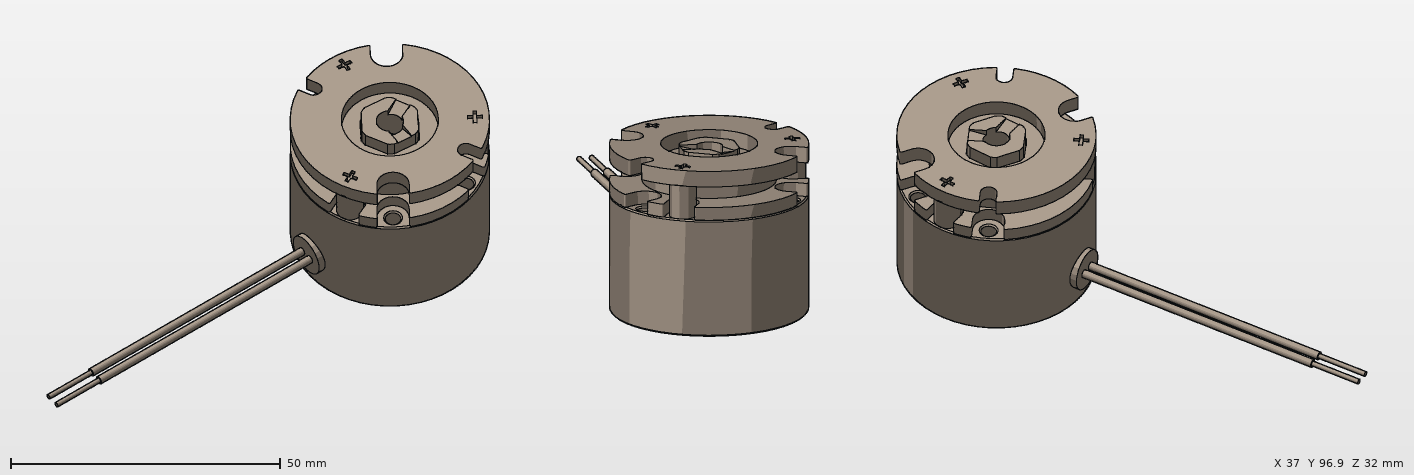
import cadquery as cq
import math

body_radius = 18.5
bore_radius = 2.5
edge_chamfer = 0.3

housing_height = 22.5
armature_thickness = 2.5
disc_thickness = 4.0
cover_thickness = 3.0
armature_bottom = housing_height
disc_bottom = armature_bottom + armature_thickness
cover_bottom = disc_bottom + disc_thickness
cover_top = cover_bottom + cover_thickness

disc_radius = 12.5
cover_opening_radius = 9.0

pillar_angles = (60, 180, 300)
pillar_circle_radius = 15.8
pillar_radius = 2.5
screw_head_radius = 2.6
recess_length = 2.8
recess_width = 0.7
recess_depth = 0.8

mount_circle_radius = 16.0
mount_hole_radius = 1.5
mount_hole_chamfer = 0.3
small_slot_width = 3.1
large_slot_width = 6.0
slot_mouth_fillet = 0.3
small_slot_angles = (30, 210)
large_slot_angles = (150, 330)
mount_angles = small_slot_angles + large_slot_angles

hub_apothem = 5.2
hub_corner_radius = 5.7
hub_clearance = 0.2
hub_top = cover_top - 0.5
notch_angles = (0, 120)
notch_width = 3.0
notch_start = 1.9
notch_inner_depth = 1.2
notch_outer_depth = 0.2

cable_angle = -85
cable_height = 7.0
grommet_radius = 4.0
grommet_end = 19.5
wire_pitch = 2.4
wire_radius = 0.8
core_radius = 0.5
insulation_end = 68.6
cable_reach = 78.4
cable_root = 14.5
cable_tilt = math.radians(cable_angle + 90)
core_corner_drop = (wire_pitch / 2 + core_radius) * math.sin(cable_tilt)
core_end = (cable_reach - core_corner_drop) / math.cos(cable_tilt)


def cylinder(radius, bottom, height):
    return cq.Workplane("XY").workplane(offset=bottom).circle(radius).extrude(height)


def polar(radius, angle):
    return radius * math.cos(math.radians(angle)), radius * math.sin(math.radians(angle))


def post(circle_radius, angle, radius, bottom, top):
    """Upright cylinder standing at a polar position."""
    x, y = polar(circle_radius, angle)
    return cylinder(radius, bottom, top - bottom).translate((x, y, 0))


def edge_slot(circle_radius, angle, width, bottom, top):
    """U-shaped cutter, round at the inner end and open at the rim."""
    slot = post(circle_radius, 0, width / 2, bottom, top)
    mouth = cq.Workplane("XY").box(body_radius, width, top - bottom, centered=(False, True, False))
    slot = slot.union(mouth.translate((circle_radius, 0, bottom)))
    return slot.rotate((0, 0, 0), (0, 0, 1), angle)


def radial_rod(radius, start, end, side=0):
    """Cylinder along the cable direction, shifted sideways by `side`."""
    rod = cq.Workplane("YZ").workplane(offset=start).center(side, cable_height).circle(radius)
    return rod.extrude(end - start).rotate((0, 0, 0), (0, 0, 1), cable_angle)


def round_slot_mouths(plate):
    """Fillet the upright edges where slots meet the rim of a plate."""
    mouths = plate.edges("|Z").filter(
        lambda edge: math.hypot(edge.Center().x, edge.Center().y) > body_radius - 0.1
        and abs(edge.Center().y) > 0.1
    )
    return mouths.fillet(slot_mouth_fillet)


def make_housing():
    housing = cylinder(body_radius, 0, housing_height).edges().chamfer(edge_chamfer)
    for angle in mount_angles:
        housing = housing.cut(post(mount_circle_radius, angle, mount_hole_radius, 0, housing_height))
    mount_rims = housing.faces(">Z").edges("%CIRCLE").filter(lambda edge: edge.radius() < body_radius / 2)
    return mount_rims.chamfer(mount_hole_chamfer)


def make_armature():
    armature = cylinder(body_radius, armature_bottom, armature_thickness)
    slots = [(pillar_circle_radius, angle) for angle in pillar_angles]
    slots += [(mount_circle_radius, angle) for angle in mount_angles]
    for circle_radius, angle in slots:
        armature = armature.cut(
            edge_slot(circle_radius, angle, large_slot_width, armature_bottom, disc_bottom)
        )
    return round_slot_mouths(armature)


def make_cover():
    cover = cylinder(body_radius, cover_bottom, cover_thickness)
    cover = cover.cut(cylinder(cover_opening_radius, cover_bottom, cover_thickness))
    slots = [(angle, small_slot_width) for angle in small_slot_angles]
    slots += [(angle, large_slot_width) for angle in large_slot_angles]
    for angle, width in slots:
        cover = cover.cut(edge_slot(mount_circle_radius, angle, width, cover_bottom, cover_top))
    cover = round_slot_mouths(cover)
    for angle in pillar_angles:
        cover = cover.cut(post(pillar_circle_radius, angle, screw_head_radius, cover_bottom, cover_top))
    return cover


def make_pillar(angle):
    pillar = post(pillar_circle_radius, 0, pillar_radius, armature_bottom, cover_bottom)
    pillar = pillar.union(post(pillar_circle_radius, 0, screw_head_radius, cover_bottom, cover_top))
    recess_floor = cq.Workplane("XY").workplane(offset=cover_top - recess_depth).center(pillar_circle_radius, 0)
    pillar = pillar.cut(recess_floor.rect(recess_length, recess_width).extrude(recess_depth))
    pillar = pillar.cut(recess_floor.rect(recess_width, recess_length).extrude(recess_depth))
    return pillar.rotate((0, 0, 0), (0, 0, 1), angle)


def make_cable():
    cable = radial_rod(grommet_radius, cable_root, grommet_end)
    for side in (-wire_pitch / 2, wire_pitch / 2):
        cable = cable.union(radial_rod(wire_radius, cable_root, insulation_end, side))
        cable = cable.union(radial_rod(core_radius, cable_root, core_end, side))
    return cable


def hub_prism(bottom, top, clearance=0):
    """Hexagon with flats facing +X and -X and its corners turned down."""
    across_corners = 2 * (hub_apothem + clearance) / math.cos(math.pi / 6)
    hexagon = cq.Workplane("XY").workplane(offset=bottom).polygon(6, across_corners).extrude(top - bottom)
    hexagon = hexagon.rotate((0, 0, 0), (0, 0, 1), 30)
    return hexagon.intersect(cylinder(hub_corner_radius + clearance, bottom, top - bottom))


def make_brake():
    brake = make_housing().union(make_armature())
    brake = brake.union(cylinder(disc_radius, disc_bottom, disc_thickness))
    brake = brake.union(make_cable())
    brake = brake.union(make_cover())
    brake = brake.cut(cylinder(bore_radius, 0, disc_bottom))
    brake = brake.cut(hub_prism(disc_bottom, cover_bottom, hub_clearance))
    for angle in pillar_angles:
        brake = brake.union(make_pillar(angle), clean=False)
    return brake


def make_hub():
    hub = hub_prism(disc_bottom, hub_top)
    hub = hub.cut(cylinder(bore_radius, disc_bottom, hub_top - disc_bottom))
    profile = (
        cq.Workplane("XZ", origin=(0, notch_width / 2, 0))
        .moveTo(notch_start, hub_top)
        .lineTo(notch_start, hub_top - notch_inner_depth)
        .lineTo(hub_apothem, hub_top - notch_outer_depth)
        .lineTo(hub_apothem, hub_top)
        .close()
    )
    notch = profile.extrude(notch_width)
    for angle in notch_angles:
        hub = hub.cut(notch.rotate((0, 0, 0), (0, 0, 1), angle))
    return hub


brake = make_brake()
hub = make_hub()
result = cq.Compound.makeCompound([brake.val(), hub.val()])